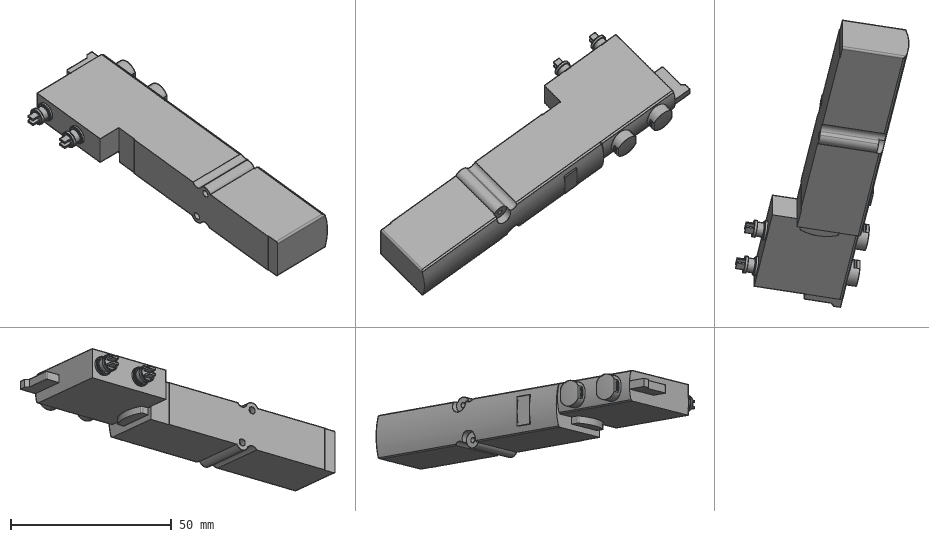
import cadquery as cq
import math


length = 108.5
valve_height = 14.0
valve_start = 35.4
valve_front = 7.6
end_round = 0.7
mid_z = valve_height / 2

end_step_depth = 0.2
step_after = 42.5
step_before = 104.3

bevel_start = 27.1
crown_start = 27.8
bevel_drop = 0.3
valve_rear = 28.9
block_rear = 28.5

boss_x = 75.4
notch_x = 71.5
height_over_bosses = 16.7
boss_height = (height_over_bosses - valve_height) / 2
boss_radius = 2.5
boss_end = 26.1
notch_depth = 1.0
notch_radius = 2.1
screw_hole_diameter = 1.6
hole_mouth_diameter = 2.3
hole_mouth_depth = 2.2
screw_head_diameter = 5.3

pad_x = 48.7
pad_length = 5.0
pad_height = 9.3

block_start = 6.0
block_end = 35.2
block_bottom = 4.2
port_z = (block_bottom + valve_height) / 2
port_pitch = 14.6

tab_thickness = 2.6
tab_front = 16.7
hook_depth = 1.1
hook_bevel_front = 25.4
hook_bevel_rear = 26.4
tab_round = 0.4

socket_start = 31.5
socket_side_start = 32.9
socket_front = 9.1
socket_rear = 21.4
socket_round = 0.7
socket_bottom = 2.0

plug_x = 10.1
plug_flange = (6.1, 0.7)
plug_shoulder = (5.3, 1.0)
plug_neck = (4.5, 3.1)
plug_collar = (5.3, 4.0)
plug_recess = (4.5, 3.7)
blade_width = 2.3
blade_thickness = 0.7
blade_offset = 1.0
blade_end = 6.5

button_x = 13.3
button_diameter = 8.1
button_rear = 31.7
button_rim = 31.4
flat_width = 3.9
flat_start = 29.5
rib_width = 2.9
rib_start = 30.1
rib_end = 30.4


def box(x0, x1, y0, y1, z0, z1):
    """Box between two opposite corners."""
    return cq.Workplane("XY").box(x1 - x0, y1 - y0, z1 - z0, centered=False).translate((x0, y0, z0))


def rod(diameter, x, z, y0, y1):
    """Cylinder along +Y from y0 to y1."""
    direction = cq.Vector(0, 1, 0)
    return cq.Workplane(cq.Solid.makeCylinder(diameter / 2, y1 - y0, cq.Vector(x, y0, z), direction))


def opposite(x, z):
    """Point turned half a turn about the centre between the two screw bosses."""
    return boss_x + notch_x - x, valve_height - z


boss_center = (boss_x, valve_height + boss_height - boss_radius)
notch_center = (notch_x, valve_height - notch_depth + notch_radius)


def boss_and_notch_points():
    """Upper outline from left to right: notch, 45 degree flank, boss."""
    notch_half = math.sqrt(notch_radius**2 - (notch_radius - notch_depth) ** 2)
    boss_half = math.sqrt(boss_radius**2 - (boss_radius - boss_height) ** 2)
    notch_reach = notch_radius * math.sqrt(0.5)
    boss_reach = boss_radius * math.sqrt(0.5)
    return [
        (notch_x - notch_half, valve_height),
        (notch_x, valve_height - notch_depth),
        (notch_x + notch_reach, notch_center[1] - notch_reach),
        (boss_x - boss_reach, boss_center[1] + boss_reach),
        (boss_x, valve_height + boss_height),
        (boss_x + boss_half, valve_height),
    ]


def draw_side(sketch, points):
    """Add one notch, flank and boss to an outline."""
    notch_left, notch_floor, flank_low, flank_high, boss_top, boss_right = points
    return (
        sketch.lineTo(*notch_left)
        .threePointArc(notch_floor, flank_low)
        .lineTo(*flank_high)
        .threePointArc(boss_top, boss_right)
    )


def rear_section(sketch, bottom, top, rear):
    """Finish a YZ section along the upper bevel, the crowned rear face and the lower bevel."""
    return (
        sketch.lineTo(bevel_start, top)
        .lineTo(crown_start, top - bevel_drop)
        .threePointArc((rear, (bottom + top) / 2), (crown_start, bottom + bevel_drop))
        .lineTo(bevel_start, bottom)
    )


def make_valve():
    """Valve body with its screw bosses, counterbored holes and rear pad."""
    upper = boss_and_notch_points()
    lower = [opposite(x, z) for x, z in upper]
    outline = cq.Workplane("XZ").moveTo(valve_start, 0).lineTo(valve_start, valve_height)
    outline = draw_side(outline, upper).lineTo(length, valve_height).lineTo(length, 0)
    outline = draw_side(outline, lower).close()
    body = outline.extrude(-valve_rear).edges("|Y and >X").fillet(end_round)

    boss_bottom = -boss_height
    boss_top = valve_height + boss_height
    section = (
        cq.Workplane("YZ")
        .moveTo(valve_front, boss_bottom)
        .lineTo(valve_front, boss_top)
        .lineTo(boss_end, boss_top)
        .lineTo(boss_end, valve_height)
    )
    section = rear_section(section, 0, valve_height, valve_rear)
    section = section.lineTo(boss_end, 0).lineTo(boss_end, boss_bottom).close()
    body = body.intersect(section.extrude(length))

    for x0, x1 in ((valve_start, step_after), (step_before, length)):
        body = body.cut(box(x0, x1, valve_front, valve_front + end_step_depth, 0, valve_height))

    for x, z in (boss_center, opposite(*boss_center)):
        body = body.cut(rod(screw_hole_diameter, x, z, valve_front, valve_rear))
        body = body.cut(rod(hole_mouth_diameter, x, z, valve_front, valve_front + hole_mouth_depth))
        body = body.cut(rod(screw_head_diameter, x, z, boss_end, valve_rear))

    pad_left = pad_x - pad_length / 2
    pad_low = mid_z - pad_height / 2
    pad = box(pad_left, pad_left + pad_length, bevel_start, valve_rear, pad_low, pad_low + pad_height)
    return body.union(pad)


def make_block():
    """Port block that runs into the valve body."""
    section = cq.Workplane("YZ").moveTo(0, block_bottom).lineTo(0, valve_height)
    section = rear_section(section, block_bottom, valve_height, block_rear).close()
    block = section.extrude(block_end - block_start).translate((block_start, 0, 0))
    joint = box(block_end, valve_start, valve_front + end_step_depth, bevel_start, block_bottom, valve_height)
    return block.union(joint)


def make_tab():
    """Thin tab on the end of the block, with a hook at its rear."""
    return (
        cq.Workplane("XY")
        .workplane(offset=port_z - tab_thickness / 2)
        .moveTo(block_start, tab_front)
        .lineTo(hook_depth, tab_front)
        .lineTo(hook_depth, hook_bevel_front)
        .lineTo(0, hook_bevel_rear)
        .lineTo(0, block_rear)
        .lineTo(block_start, block_rear)
        .close()
        .extrude(tab_thickness)
        .edges("|Z and <Y and (not >X)")
        .fillet(tab_round)
    )


def make_socket():
    """Bowed socket below the block, against the valve's end face."""
    return (
        cq.Workplane("XY")
        .workplane(offset=socket_bottom)
        .moveTo(valve_start, socket_front)
        .lineTo(socket_side_start, socket_front)
        .threePointArc((socket_start, (socket_front + socket_rear) / 2), (socket_side_start, socket_rear))
        .lineTo(valve_start, socket_rear)
        .close()
        .extrude(block_bottom - socket_bottom)
        .edges("|Z and (not >X)")
        .fillet(socket_round)
    )


def make_plug(x):
    """Stepped plug on the front face with a recessed collar, ending in two flat blades."""
    profile = cq.Workplane("XY")
    reached = 0
    for diameter, depth in (plug_flange, plug_shoulder, plug_neck, plug_collar):
        profile = profile.lineTo(diameter / 2, -reached).lineTo(diameter / 2, -depth)
        reached = depth
    for depth in (plug_collar[1], plug_recess[1]):
        profile = profile.lineTo(plug_recess[0] / 2, -depth)
    profile = profile.lineTo(0, -plug_recess[1]).close()
    plug = profile.revolve(360, (0, 0, 0), (0, 1, 0))
    half_width = blade_width / 2
    half_thickness = blade_thickness / 2
    blade = box(-half_width, half_width, -blade_end, -plug_recess[1], -half_thickness, half_thickness)
    for z in (-blade_offset, blade_offset):
        plug = plug.union(blade.translate((0, 0, z)))
    return plug.translate((x, 0, port_z))


def make_button(x):
    """Domed push button on the rear face, with a ribbed flat on each side."""
    radius = button_diameter / 2
    dome_height = button_rear - button_rim
    flat_reach = math.sqrt(radius**2 - (flat_width / 2) ** 2)
    dome_radius = (radius**2 + dome_height**2) / (2 * dome_height)
    dome = cq.Workplane("XY").sphere(dome_radius).translate((0, button_rear - dome_radius, 0))
    button = rod(button_diameter, 0, 0, bevel_start, button_rear).intersect(dome)
    ribs = box(-radius, radius, rib_start, rib_end, -rib_width / 2, rib_width / 2)
    for x0, x1 in ((-radius, -flat_reach), (flat_reach, radius)):
        flat = box(x0, x1, flat_start, button_rear, -flat_width / 2, flat_width / 2)
        button = button.cut(flat.cut(ribs))
    return button.translate((x, 0, port_z))


result = make_valve().union(make_block()).union(make_tab()).union(make_socket())
for shift in (0, port_pitch):
    result = result.union(make_plug(plug_x + shift)).union(make_button(button_x + shift))